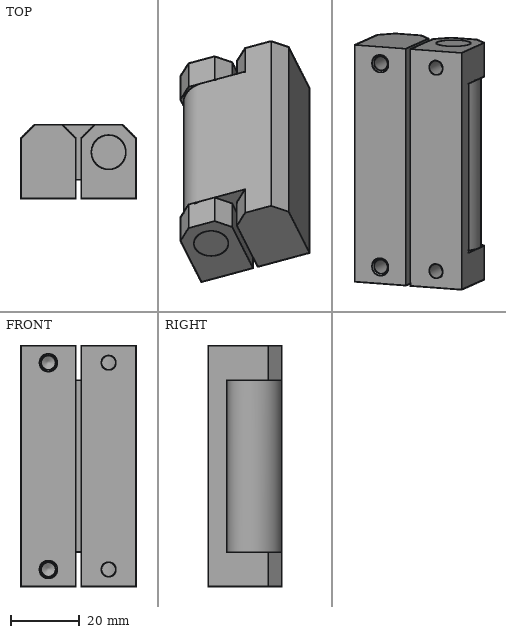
import cadquery as cq
import math

height = 70.0
depth = 21.5
leaf_width = 16.0
leaf_gap = 1.5
back_chamfer = 4.0
knuckle_height = 50.0
pin_diameter = 10.0
hole_diameter = 4.2
hole_end_offset = 5.0
blind_hole_depth = 12.0
hole_chamfer = 0.5
drill_point_angle = 118.0

leaf_pitch = leaf_width + leaf_gap
fixed_leaf_x = -leaf_pitch / 2
pin_x = leaf_pitch / 2
knuckle_radius = leaf_width / 2
pin_y = depth - knuckle_radius
hole_offset_z = height / 2 - hole_end_offset


def leaf_blank(center_x):
    """Upright bar with both back vertical edges chamfered."""
    bar = cq.Workplane("XY").box(leaf_width, depth, height, centered=(True, False, True))
    return bar.edges("|Z and >Y").chamfer(back_chamfer).translate((center_x, 0, 0))


def hinge_cylinder(radius, length):
    """Cylinder on the hinge axis, centred in height."""
    return cq.Workplane("XY").center(pin_x, pin_y).circle(radius).extrude(length / 2, both=True)


def blind_hole():
    """Cutter for a drilled hole along +Y with a chamfered mouth and conical bottom."""
    radius = hole_diameter / 2
    point_length = radius / math.tan(math.radians(drill_point_angle / 2))
    profile = (
        cq.Workplane("XY")
        .moveTo(0, 0)
        .lineTo(radius + hole_chamfer, 0)
        .lineTo(radius, hole_chamfer)
        .lineTo(radius, blind_hole_depth)
        .lineTo(0, blind_hole_depth + point_length)
        .close()
    )
    return profile.revolve(360, (0, 0, 0), (0, 1, 0))


def make_fixed_leaf():
    """Leaf with a rounded knuckle reaching around the pin."""
    arm = (
        cq.Workplane("XY")
        .box(leaf_pitch, 2 * knuckle_radius, knuckle_height)
        .translate((0, pin_y, 0))
    )
    barrel = hinge_cylinder(knuckle_radius, knuckle_height)
    leaf = leaf_blank(fixed_leaf_x).union(arm).union(barrel)
    leaf = leaf.cut(hinge_cylinder(pin_diameter / 2, height))
    for z in (-hole_offset_z, hole_offset_z):
        leaf = leaf.cut(blind_hole().translate((fixed_leaf_x, 0, z)))
    return leaf


def make_swinging_leaf():
    """Leaf with a window for the knuckle, a pin bore and front holes that reach the bore."""
    window = (
        cq.Workplane("XY")
        .box(leaf_width, 2 * knuckle_radius, knuckle_height)
        .translate((pin_x, pin_y, 0))
    )
    leaf = leaf_blank(pin_x).cut(window)
    leaf = leaf.cut(hinge_cylinder(pin_diameter / 2, height))
    for z in (-hole_offset_z, hole_offset_z):
        hole = cq.Workplane("XZ").center(pin_x, z).circle(hole_diameter / 2).extrude(-pin_y)
        leaf = leaf.cut(hole)
    return leaf


def make_pin():
    """Hinge pin, flush with both leaf ends."""
    return hinge_cylinder(pin_diameter / 2, height)


fixed_leaf = make_fixed_leaf()
swinging_leaf = make_swinging_leaf()
pin = make_pin()

bodies = [fixed_leaf, swinging_leaf, pin]
result = cq.Compound.makeCompound([body.solids().val() for body in bodies])